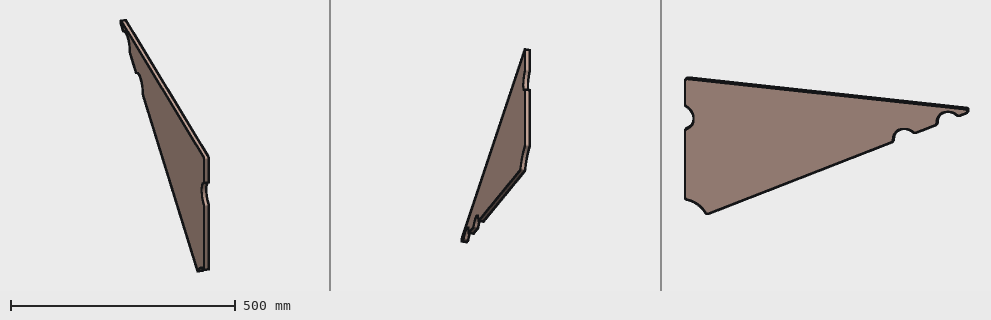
import cadquery as cq
import math

LENGTH = 656.54
THICKNESS = 11.0
SLOPE = math.radians(27.05)
CORNER_ROUND = 5.0

APEX_X = CORNER_ROUND - CORNER_ROUND / math.tan(SLOPE / 2)
END_CORNER_Z = -(LENGTH - APEX_X) * math.tan(SLOPE)

NOTCH_RADIUS = 30.0
NOTCH_OFFSET = 10.0
FIRST_NOTCH = 69.5
NOTCH_PITCH = 114.1
LOWER_NOTCH_COUNT = 2
END_NOTCH_Z = -92.5

CORNER_CUT_RADIUS = 56.2


def lower_notch_center(along):
    """Centre of a lower-edge notch at a distance along the edge from the apex."""
    x = APEX_X + along * math.cos(SLOPE) - NOTCH_OFFSET * math.sin(SLOPE)
    z = -along * math.sin(SLOPE) - NOTCH_OFFSET * math.cos(SLOPE)
    return x, z


def make_blank():
    """Sharp-cornered triangular plate."""
    outline = [(APEX_X, 0), (LENGTH, 0), (LENGTH, END_CORNER_Z)]
    return cq.Workplane("XZ").polyline(outline).close().extrude(-THICKNESS)


def cut_round(panel, center, radius):
    """Remove a cylinder through the full thickness."""
    cutter = cq.Workplane("XZ").center(*center).circle(radius).extrude(-THICKNESS)
    return panel.cut(cutter)


def cut_notches(panel):
    centers = [(LENGTH + NOTCH_OFFSET, END_NOTCH_Z)]
    for i in range(LOWER_NOTCH_COUNT):
        centers.append(lower_notch_center(FIRST_NOTCH + i * NOTCH_PITCH))
    for center in centers:
        panel = cut_round(panel, center, NOTCH_RADIUS)
    return panel


def round_corners(panel):
    """Round every corner of the outline through the thickness."""
    return panel.edges("|Y").fillet(CORNER_ROUND)


panel = cut_notches(make_blank())
panel = cut_round(panel, (LENGTH, END_CORNER_Z), CORNER_CUT_RADIUS)
result = round_corners(panel)